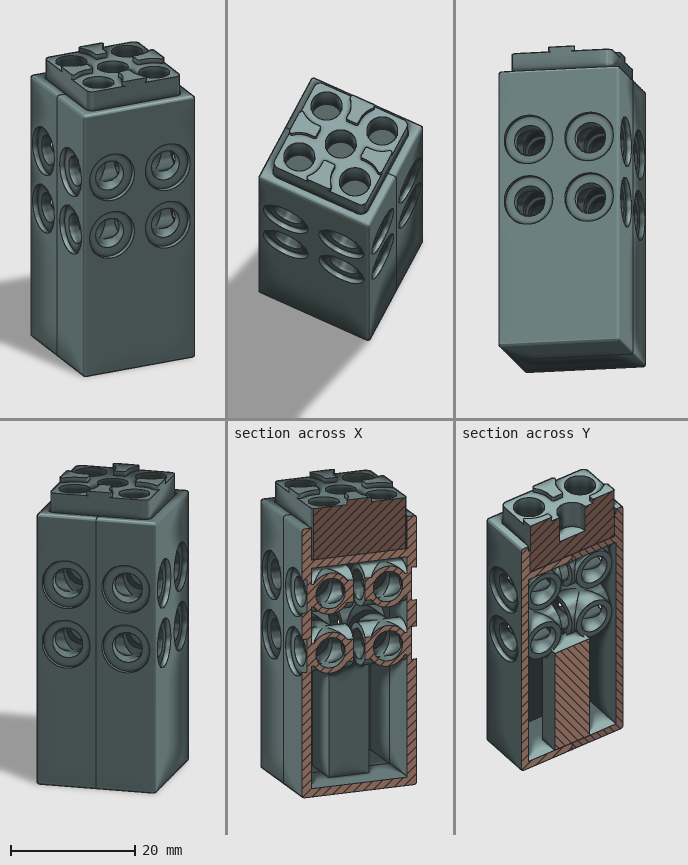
import cadquery as cq
import math

width = 20.0
half_width = width / 2
housing_height = 45.5
edge_radius = 0.5
floor_thickness = 1.5
cavity_width_x = 17.2
cavity_width_y = 16.95
cavity_corner_radius = 1.35

pitch = half_width
hole_diameter = 5.0
rim_diameter = 8.0
rim_depth = 0.9
boss_diameter = 7.0
boss_end = 1.0
lower_hole_z = 24.0
upper_hole_z = lower_hole_z + pitch
hole_offsets = [-pitch / 2, pitch / 2]

total_height = 49.5
insert_width = 16.6
insert_corner_radius = 1.05
insert_base_z = 40.1
socket_floor_thickness = 1.5
blind_hole_depth = 4.95

pad_height = 0.8
pad_inner_reach = 4.0
pad_half_width = 1.05
pad_outer_fillet = 0.4
pad_inner_fillet = 0.3

rib_width = 1.55
rib_top_z = 44.55

core_width = 6.95
core_top_z = 21.3

insert_top_z = total_height - pad_height
half_insert = insert_width / 2
rib_depth = (cavity_width_x - insert_width) / 2
flare_center = pitch / 2
flare_radius = flare_center - pad_half_width
hole_points = [(offset, z) for offset in hole_offsets for z in (lower_hole_z, upper_hole_z)]


def upright_block(size_x, size_y, base_z, top_z):
    return cq.Workplane("XY", origin=(0, 0, base_z)).rect(size_x, size_y).extrude(top_z - base_z)


def cylinders_at_holes(diameter, inner, outer):
    """Cylinders centred on every hole of all four walls, from inner to outer distance off the axis."""
    row = (
        cq.Workplane("XZ", origin=(0, -inner, 0))
        .pushPoints(hole_points)
        .circle(diameter / 2)
        .extrude(outer - inner)
    )
    rows = cq.Workplane("XY")
    for turn in range(4):
        rows = rows.add(row.rotate((0, 0, 0), (0, 0, 1), 90 * turn))
    return rows.combine()


def housing_shell():
    block = upright_block(width, width, 0, housing_height).edges().fillet(edge_radius)
    chamber_top_z = insert_base_z - socket_floor_thickness
    shell = block
    for base_z, top_z in ((floor_thickness, chamber_top_z), (insert_base_z, housing_height)):
        cavity = upright_block(cavity_width_x, cavity_width_y, base_z, top_z)
        shell = shell.cut(cavity.edges("|Z").fillet(cavity_corner_radius))

    bosses = cylinders_at_holes(boss_diameter, boss_end, half_width - rim_depth)
    bores = cylinders_at_holes(hole_diameter, 0, half_width)
    rims = cylinders_at_holes(rim_diameter, half_width - rim_depth, half_width)
    shell = shell.union(bosses).cut(bores).cut(rims)

    for side in (-1, 1):
        rib = upright_block(rib_depth, rib_width, insert_base_z, rib_top_z)
        shell = shell.union(rib.translate((side * (cavity_width_x - rib_depth) / 2, 0, 0)))
    return shell


def housing_half(side):
    """The part of the housing on one side of X = 0; side is -1 or +1."""
    half_space = upright_block(half_width, width, 0, housing_height)
    return housing_shell().intersect(half_space.translate((side * half_width / 2, 0, 0)))


def flank_x(y):
    """Half the pad width at distance y from the axis, along the arc around a corner hole."""
    return flare_center - math.sqrt(flare_radius**2 - (y - flare_center) ** 2)


def flared_pad():
    """Pad along the -Y edge of the insert, its flanks curving outward around the corner holes."""
    middle_y = (flare_center + half_insert) / 2
    pad = (
        cq.Workplane("XY", origin=(0, 0, insert_top_z))
        .moveTo(-pad_half_width, -pad_inner_reach)
        .lineTo(pad_half_width, -pad_inner_reach)
        .lineTo(pad_half_width, -flare_center)
        .threePointArc((flank_x(middle_y), -middle_y), (flank_x(half_insert), -half_insert))
        .lineTo(-flank_x(half_insert), -half_insert)
        .threePointArc((-flank_x(middle_y), -middle_y), (-pad_half_width, -flare_center))
        .close()
        .extrude(pad_height)
    )
    pad = pad.faces("<Y").edges("|Z").fillet(pad_outer_fillet)
    return pad.faces(">Y").edges("|Z").fillet(pad_inner_fillet)


def insert_body():
    block = upright_block(insert_width, insert_width, insert_base_z, insert_top_z)
    block = block.edges("|Z").fillet(insert_corner_radius)
    corner_points = [(x, y) for x in hole_offsets for y in hole_offsets]
    blind_holes = (
        cq.Workplane("XY", origin=(0, 0, insert_top_z))
        .pushPoints([(0, 0), *corner_points])
        .circle(hole_diameter / 2)
        .extrude(-blind_hole_depth)
    )
    block = block.cut(blind_holes)
    for turn in range(4):
        block = block.union(flared_pad().rotate((0, 0, 0), (0, 0, 1), 90 * turn))
    return block


housing_halves = [housing_half(side) for side in (-1, 1)]
insert = insert_body()
core = upright_block(core_width, core_width, floor_thickness, core_top_z)

result = cq.Compound.makeCompound([*[half.val() for half in housing_halves], insert.val(), core.val()])